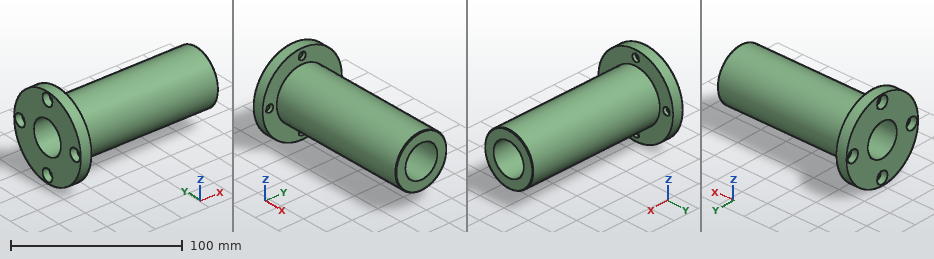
import cadquery as cq

total_length = 112.0
flange_diameter = 62.0
flange_thickness = 8.0
sleeve_diameter = 40.0
bore_diameter = 25.0
end_chamfer = 0.5

hole_count = 4
bolt_circle_diameter = 51.0
hole_diameter = 5.5
counterbore_diameter = 9.0
counterbore_depth = 5.2


def cylinder(diameter, start, length):
    """Solid cylinder about the X axis, beginning at x = start."""
    return cq.Workplane("YZ", origin=(start, 0, 0)).circle(diameter / 2).extrude(length)


def make_body():
    """Flange and chamfered sleeve."""
    flange = cylinder(flange_diameter, 0, flange_thickness)
    sleeve = cylinder(sleeve_diameter, 0, total_length).faces(">X").chamfer(end_chamfer)
    return flange.union(sleeve)


def make_mounting_holes():
    """Cutters for the mounting holes, counterbored from the free flange face."""
    centres = cq.Workplane("YZ").polarArray(bolt_circle_diameter / 2, 0, 360, hole_count)
    through = centres.circle(hole_diameter / 2).extrude(flange_thickness)
    counterbores = centres.circle(counterbore_diameter / 2).extrude(counterbore_depth)
    return through.union(counterbores)


bore = cylinder(bore_diameter, 0, total_length)
result = make_body().cut(bore).cut(make_mounting_holes())